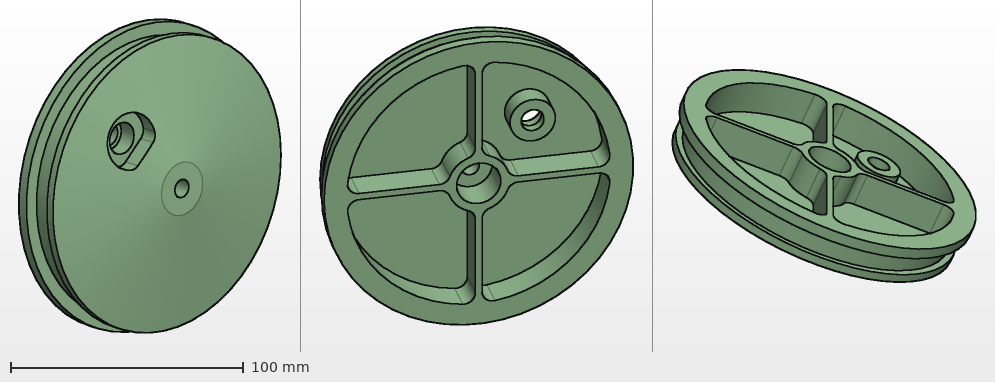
import cadquery as cq
import math

total_width = 28.69
rim_radius = 68.3
rim_width = 5.0
groove_radius = 62.5
groove_end = 15.2
rear_flange_radius = 65.6
rear_flange_end = 19.1
nose_radius = 11.8

pocket_depth = 15.0
pocket_radius = 58.3
hub_radius = 13.6
rib_thickness = 3.0
pocket_corner_radius = 5.0

bearing_diameter = 19.5
bearing_depth = 16.0
shaft_diameter = 8.0

handle_y = -25.0
handle_z = 25.0
boss_diameter = 20.0
boss_face = 5.0
handle_hole_diameter = 10.0
handle_recess_diameter = 25.0
web_thickness = 3.0
handle_recess_floor = pocket_depth + web_thickness
handle_recess_flat = 9.25
handle_recess_corner_radius = 5.0
handle_counterbore_diameter = 14.0
handle_hole_length = 4.7
handle_counterbore_floor = boss_face + handle_hole_length


def cylinder(diameter, start, end, y=0.0, z=0.0):
    """Solid cylinder along X between two X positions."""
    base = cq.Workplane("YZ", origin=(start, y, z))
    return base.circle(diameter / 2).extrude(end - start)


def make_body():
    """Grooved rim with a conical back."""
    half_profile = (
        cq.Workplane("XY")
        .lineTo(0, rim_radius)
        .lineTo(rim_width, rim_radius)
        .lineTo(rim_width, groove_radius)
        .lineTo(groove_end, groove_radius)
        .lineTo(groove_end, rear_flange_radius)
        .lineTo(rear_flange_end, rear_flange_radius)
        .lineTo(total_width, nose_radius)
        .lineTo(total_width, 0)
        .close()
    )
    return half_profile.revolve(360, (0, 0, 0), (1, 0, 0))


def make_pockets():
    """Four quarter pockets, separated by the cross ribs and the hub."""
    ring = cylinder(2 * pocket_radius, 0, pocket_depth)
    ring = ring.cut(cylinder(2 * hub_radius, 0, pocket_depth))
    cross_length = 2 * rim_radius
    for width_y, width_z in ((cross_length, rib_thickness), (rib_thickness, cross_length)):
        rib = cq.Workplane("YZ").rect(width_y, width_z).extrude(pocket_depth)
        ring = ring.cut(rib)
    return ring.edges("|X").fillet(pocket_corner_radius)


def make_handle_recess():
    """Round recess with a rounded-off flat on the side nearest the wheel axis."""
    depth = total_width - handle_recess_floor
    hub_side = cq.Workplane("YZ").center(handle_recess_flat + handle_recess_diameter / 2, 0)
    hub_side = hub_side.rect(handle_recess_diameter, handle_recess_diameter).extrude(depth)
    recess = cylinder(handle_recess_diameter, 0, depth).cut(hub_side)
    flat_ends = recess.faces(">Y").edges("|X")
    recess = flat_ends.fillet(handle_recess_corner_radius)
    hub_direction = math.degrees(math.atan2(-handle_z, -handle_y))
    recess = recess.rotate((0, 0, 0), (1, 0, 0), hub_direction)
    return recess.translate((handle_recess_floor, handle_y, handle_z))


def add_handle_boss(part):
    """Boss standing on the web, with a stepped through hole and a recess in the cone."""
    part = part.union(cylinder(boss_diameter, boss_face, handle_recess_floor, handle_y, handle_z))
    part = part.cut(cylinder(handle_hole_diameter, 0, total_width, handle_y, handle_z))
    counterbore = cylinder(
        handle_counterbore_diameter, handle_counterbore_floor, total_width, handle_y, handle_z
    )
    return part.cut(counterbore).cut(make_handle_recess())


def cut_central_bore(part):
    """Bearing seat from the open face and a smaller shaft hole through the nose."""
    part = part.cut(cylinder(bearing_diameter, 0, bearing_depth))
    return part.cut(cylinder(shaft_diameter, 0, total_width))


result = make_body().cut(make_pockets())
result = add_handle_boss(result)
result = cut_central_bore(result)